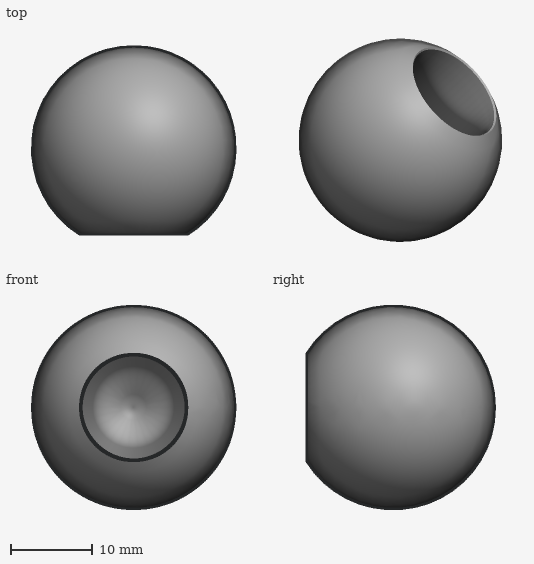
import cadquery as cq
import math

ball_radius = 12.5
flat_y = -10.62

hole_radius = 12.8 / 2
hole_depth = 12.0
drill_point_angle = 118.0

rim_radius = math.sqrt(ball_radius**2 - flat_y**2)
chamfer = rim_radius - hole_radius

hole_end_y = flat_y + hole_depth
drill_tip_y = hole_end_y + hole_radius / math.tan(math.radians(drill_point_angle / 2))

half_section = (
    cq.Workplane("XY")
    .moveTo(0, drill_tip_y)
    .lineTo(hole_radius, hole_end_y)
    .lineTo(hole_radius, flat_y + chamfer)
    .lineTo(rim_radius, flat_y)
    .threePointArc((ball_radius, 0), (0, ball_radius))
    .close()
)

result = half_section.revolve(360, (0, 0, 0), (0, 1, 0))